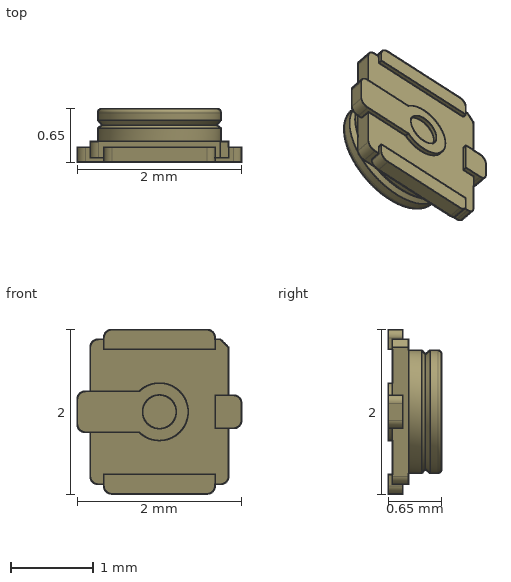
import cadquery as cq

PLATE_BACK = 0.05
LEAD_FRONT = 0.18
PLATE_FRONT = 0.25
GROOVE_START = 0.41
GROOVE_BOTTOM = 0.45
GROOVE_END = 0.51
BARREL_END = 0.65

PLATE_WIDTH = 1.685
PLATE_HEIGHT = 1.765
CORNER = 0.1

OVERALL_SIZE = 2.0
GROUND_LEAD_WIDTH = 1.355
GROUND_LEAD_INNER_Z = 0.76
SIGNAL_LEAD_WIDTH = 0.5
SIGNAL_RING_RADIUS = 0.35
SIGNAL_HOLE_RADIUS = 0.205
SIDE_LEAD_WIDTH = 0.405
SIDE_LEAD_INNER_X = GROUND_LEAD_WIDTH / 2

BARREL_RADIUS = 0.75
GROOVE_RADIUS = 0.7
RIM_FILLET = 0.05


def block(x_min, x_max, y_min, y_max, z_min, z_max):
    """Box given by its limits along each axis."""
    size = (x_max - x_min, y_max - y_min, z_max - z_min)
    return cq.Workplane("XY").box(*size, centered=False).translate((x_min, y_min, z_min))


def disc(radius, y_min, y_max):
    """Cylinder on the Y axis."""
    return cq.Workplane("XZ", origin=(0, y_min, 0)).circle(radius).extrude(y_min - y_max)


def make_plate():
    """Base plate with three rounded corners and one chamfered corner."""
    half_x = PLATE_WIDTH / 2
    half_z = PLATE_HEIGHT / 2
    plate = block(-half_x, half_x, PLATE_BACK, PLATE_FRONT, -half_z, half_z)
    plate = plate.edges("|Y and <X").fillet(CORNER)
    plate = plate.edges("|Y and >X").edges("<Z").fillet(CORNER)
    return plate.edges("|Y and >X").edges(">Z").chamfer(CORNER)


def make_barrel():
    """Barrel with a V-shaped snap groove and a rounded rim."""
    profile = (
        cq.Workplane("YZ")
        .moveTo(PLATE_BACK, 0)
        .lineTo(PLATE_BACK, BARREL_RADIUS)
        .lineTo(GROOVE_START, BARREL_RADIUS)
        .lineTo(GROOVE_BOTTOM, GROOVE_RADIUS)
        .lineTo(GROOVE_END, BARREL_RADIUS)
        .lineTo(BARREL_END, BARREL_RADIUS)
        .lineTo(BARREL_END, 0)
        .close()
    )
    barrel = profile.revolve(360, (0, 0, 0), (1, 0, 0))
    return barrel.faces(">Y").edges().fillet(RIM_FILLET)


def make_ground_lead():
    """Wide lead along the +Z edge, with rounded outer corners."""
    half_x = GROUND_LEAD_WIDTH / 2
    lead = block(-half_x, half_x, 0, LEAD_FRONT, GROUND_LEAD_INNER_Z, OVERALL_SIZE / 2)
    return lead.edges("|Y and >Z").fillet(CORNER)


def make_side_lead():
    """Short lead on the +X edge, with rounded outer corners."""
    half_z = SIDE_LEAD_WIDTH / 2
    lead = block(SIDE_LEAD_INNER_X, OVERALL_SIZE / 2, 0, LEAD_FRONT, -half_z, half_z)
    return lead.edges("|Y and >X").fillet(CORNER)


def make_signal_lead():
    """Lead from the -X edge to a ring around the centre of the plate."""
    half_z = SIGNAL_LEAD_WIDTH / 2
    strip = block(-OVERALL_SIZE / 2, 0, 0, LEAD_FRONT, -half_z, half_z)
    strip = strip.edges("|Y and <X").fillet(CORNER)
    ring = disc(SIGNAL_RING_RADIUS, 0, LEAD_FRONT)
    hole = disc(SIGNAL_HOLE_RADIUS, 0, PLATE_BACK)
    return strip.union(ring).cut(hole)


upper_lead = make_ground_lead()
result = make_plate().union(make_barrel())
result = result.union(upper_lead).union(upper_lead.mirror("XY"))
result = result.union(make_side_lead()).union(make_signal_lead())